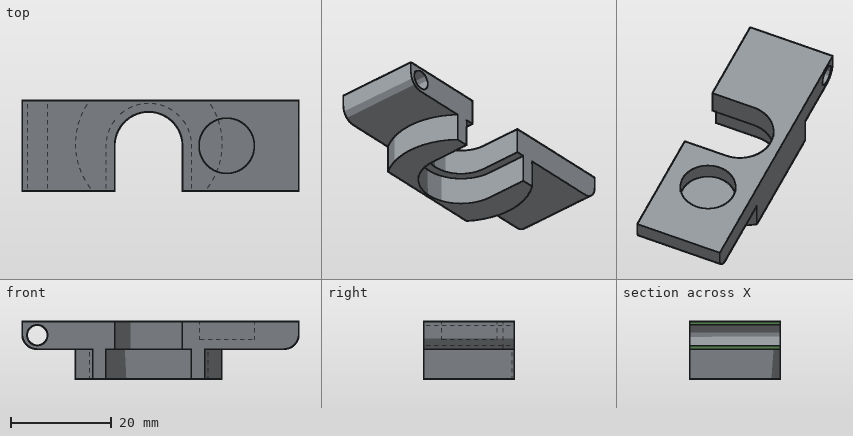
import cadquery as cq

length = 55.0
width = 18.0
total_height = 11.5
plate_thickness = 5.55
corner_radius = 3.0
mid_y = width / 2

collar_height = total_height - plate_thickness
collar_x = 25.15
collar_y = 9.4
collar_radius = 14.6

plate_slot_width = 13.4
collar_slot_width = 17.0

pocket_x = 40.65
pocket_diameter = 11.0
pocket_depth = 3.5

hinge_diameter = 4.0
hinge_x = 3.0
hinge_height = 2.8


def open_slot(slot_width, bottom, height):
    """Slot with a round end at mid width, open on the -Y side."""
    round_end = cq.Workplane(origin=(collar_x, mid_y, bottom)).circle(slot_width / 2).extrude(height)
    mouth = cq.Workplane(origin=(collar_x, 0, bottom)).rect(slot_width, width).extrude(height)
    return round_end.union(mouth)


def make_plate():
    plate = cq.Workplane(origin=(0, 0, collar_height)).box(
        length, width, plate_thickness, centered=False
    )
    plate = plate.edges("|Y and <Z").fillet(corner_radius)
    pocket = (
        cq.Workplane(origin=(pocket_x, mid_y, total_height - pocket_depth))
        .circle(pocket_diameter / 2)
        .extrude(pocket_depth)
    )
    hinge_hole = (
        cq.Workplane("XZ", origin=(hinge_x, 0, collar_height + hinge_height))
        .circle(hinge_diameter / 2)
        .extrude(-width)
    )
    slot = open_slot(plate_slot_width, collar_height, plate_thickness)
    return plate.cut(pocket).cut(hinge_hole).cut(slot)


def make_collar():
    """Disc trimmed flush with the long sides of the plate."""
    disc = cq.Workplane(origin=(collar_x, collar_y, 0)).circle(collar_radius).extrude(collar_height)
    side_limits = cq.Workplane().box(length, width, collar_height, centered=False)
    slot = open_slot(collar_slot_width, 0, collar_height)
    return disc.intersect(side_limits).cut(slot)


result = make_plate().union(make_collar())